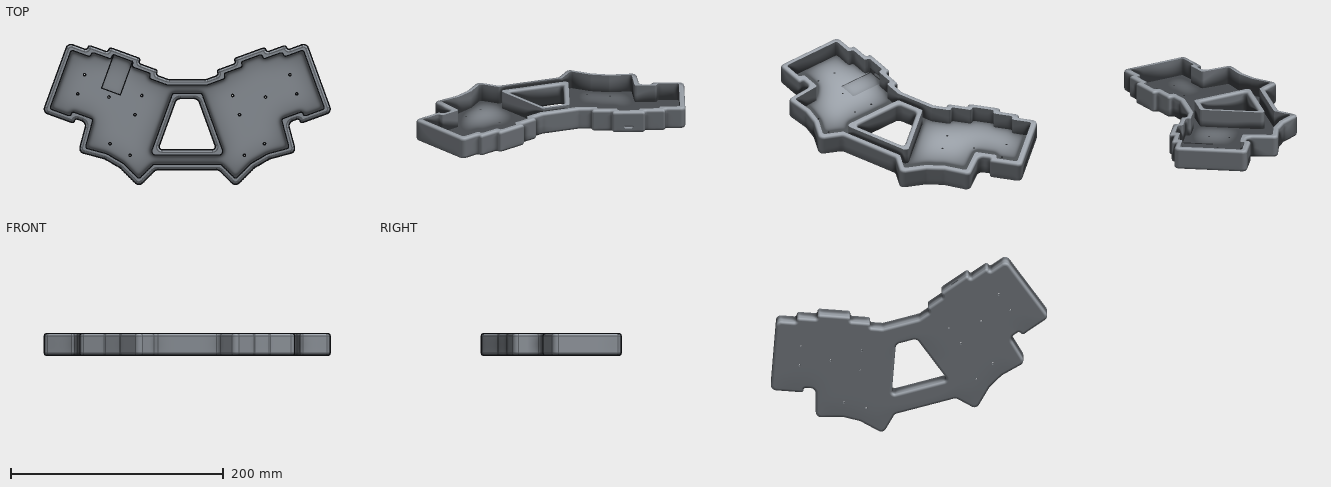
import cadquery as cq
import math


key_tilt = 20.0
key_pitch = 19.0
column_stagger = key_pitch / 4
tallest_column_across = -74.7
block_bottom = -38.5
rows = 3
key_margin = 6.0

height = 20.7
floor_thickness = 4.0
wall = 5.0
rim_fillet = 2.5
corner_radius = 4.8
step_radius = 2.2
bend_radius = 5.0
inner_radius = 2.2

thumb_turn = 15.0
thumb_side_distance = 89.5
thumb_wall_distances = (60.5, 75.0, 80.0)
thumb_tip_distance = 15.9

bridge_top = 32.8
bridge_bottom = 52.1
window_top = 14.8
window_bottom = 33.0
window_side_distance = 14.5
window_top_radius = 5.0
window_bottom_radius = 2.7
window_collar_radius = 3.5

screw_diameter = 2.0
thumb_screws = ((-72.5, -27.5), (-53.8, -38.5))

pocket_width = 18.8
pocket_bottom = -4.3
pocket_depth = 0.8
pocket_height = 7.0
pocket_undercut = 1.0
connector_width = 9.0
connector_height = 3.5
connector_above_pocket = 3.0

column_half_width = key_pitch / 2
riser_offset = column_half_width + key_margin
low_top = block_bottom + rows * key_pitch + key_margin
middle_top = low_top + column_stagger
high_top = middle_top + column_stagger
low_bottom = block_bottom - key_margin
notch_bottom = low_bottom + column_stagger
outer_riser = tallest_column_across - riser_offset - key_pitch
block_side = outer_riser - key_pitch
notch_riser = tallest_column_across - 3 * column_half_width + key_margin

up = 90 - key_tilt
down = up + 180
outward = up + 90
inward = up - 90

OUTER_WALLS = [
    (270, bridge_bottom, bend_radius),
    (315, thumb_tip_distance, corner_radius),
    (270 - 3 * thumb_turn, thumb_wall_distances[2], bend_radius),
    (270 - 2 * thumb_turn, thumb_wall_distances[1], bend_radius),
    (270 - thumb_turn, thumb_wall_distances[0], corner_radius),
    (180 - thumb_turn, thumb_side_distance, bend_radius),
    (down, -notch_bottom, step_radius),
    (inward, notch_riser, step_radius),
    (down, -low_bottom, corner_radius),
    (outward, -block_side, corner_radius),
    (up, low_top, step_radius),
    (outward, -outer_riser, step_radius),
    (up, middle_top, step_radius),
    (outward, riser_offset - tallest_column_across, step_radius),
    (up, high_top, step_radius),
    (inward, tallest_column_across + riser_offset, step_radius),
    (up, middle_top, step_radius),
    (inward, tallest_column_across + riser_offset + key_pitch, step_radius),
    (up, low_top, bend_radius),
    (90, bridge_top, 0),
]

WINDOW_WALLS = [
    (270, window_bottom, window_bottom_radius),
    (180 - key_tilt, window_side_distance, window_top_radius),
    (90, window_top, 0),
]

COLLAR_WALLS = [
    (270, window_bottom + wall, window_collar_radius),
    (180 - key_tilt, window_side_distance + wall, inner_radius),
    (90, window_top + wall, 0),
]


def tilted(across, along):
    """Turn a position in the left block's tilted axes into X and Y."""
    angle = math.radians(key_tilt)
    x = across * math.cos(angle) + along * math.sin(angle)
    y = along * math.cos(angle) - across * math.sin(angle)
    return x, y


def wall_crossing(first, second):
    """Point where two straight walls meet."""
    a, b = math.radians(first[0]), math.radians(second[0])
    turn = math.sin(b - a)
    x = (first[1] * math.sin(b) - second[1] * math.sin(a)) / turn
    y = (second[1] * math.cos(a) - first[1] * math.cos(b)) / turn
    return x, y


def mirrored_corners(walls):
    """Corners (x, y, radius) of the closed outline that the walls and their mirror images make."""
    left = []
    for current, following in zip(walls, walls[1:]):
        x, y = wall_crossing(current, following)
        left.append((x, y, current[2]))
    return left + [(-x, y, r) for x, y, r in reversed(left)]


def rounded_prism(corners, bottom, top):
    """Upright prism over a polygon whose corners are rounded by tangent arcs."""
    arcs = []
    for index, (x, y, radius) in enumerate(corners):
        corner = cq.Vector(x, y)
        before = (cq.Vector(*corners[index - 1][:2]) - corner).normalized()
        after = (cq.Vector(*corners[(index + 1) % len(corners)][:2]) - corner).normalized()
        half_angle = before.getAngle(after) / 2
        reach = radius / math.tan(half_angle)
        bisector = (before + after).normalized()
        middle = corner + bisector * (radius / math.sin(half_angle) - radius)
        arcs.append((corner + before * reach, middle, corner + after * reach))
    profile = cq.Workplane("XY", origin=(0, 0, bottom)).moveTo(*arcs[-1][2].toTuple()[:2])
    for start, middle, end in arcs:
        profile = profile.lineTo(*start.toTuple()[:2])
        profile = profile.threePointArc(middle.toTuple()[:2], end.toTuple()[:2])
    return profile.close().extrude(top - bottom)


def case_body():
    """Outer block with the window through it and all outside edges rounded over."""
    block = rounded_prism(mirrored_corners(OUTER_WALLS), 0, height)
    window = rounded_prism(mirrored_corners(WINDOW_WALLS), 0, height)
    return block.cut(window).faces("|Z").edges().fillet(rim_fillet)


def cavity():
    """Inside space above the floor, leaving a wall round the outline and round the window."""
    inner_walls = [(normal, distance - wall, inner_radius) for normal, distance, _ in OUTER_WALLS]
    space = rounded_prism(mirrored_corners(inner_walls), floor_thickness, height)
    collar = rounded_prism(mirrored_corners(COLLAR_WALLS), floor_thickness, height)
    return space.cut(collar)


def screw_holes():
    """Through holes between the keys of both halves."""
    outer_screws_start = block_bottom + column_stagger / 2
    left = list(thumb_screws)
    for side in (-1, 1):
        for row in (1, 2):
            across = tallest_column_across + side * 3 * column_half_width
            left.append(tilted(across, outer_screws_start + row * key_pitch))
    left.append(tilted(tallest_column_across, block_bottom + 2 * column_stagger + key_pitch))
    points = left + [(-x, y) for x, y in left]
    return cq.Workplane("XY").pushPoints(points).circle(screw_diameter / 2).extrude(floor_thickness)


def controller_pocket():
    """Shallow floor recess that also undercuts the back wall."""
    pocket_top = high_top - wall + pocket_undercut
    length = pocket_top - pocket_bottom
    x, y = tilted(tallest_column_across, (pocket_top + pocket_bottom) / 2)
    pocket = cq.Workplane("XY").box(pocket_width, length, pocket_height, centered=(True, True, False))
    pocket = pocket.rotate((0, 0, 0), (0, 0, 1), -key_tilt)
    return pocket.translate((x, y, floor_thickness - pocket_depth))


def connector_slot():
    """Round-ended slot through the back wall above the pocket."""
    x, y = tilted(tallest_column_across, high_top)
    slot = cq.Workplane("XZ").slot2D(connector_width, connector_height).extrude(wall, both=True)
    slot = slot.rotate((0, 0, 0), (0, 0, 1), -key_tilt)
    return slot.translate((x, y, floor_thickness - pocket_depth + connector_above_pocket))


result = case_body().cut(cavity()).cut(screw_holes()).cut(controller_pocket()).cut(connector_slot())